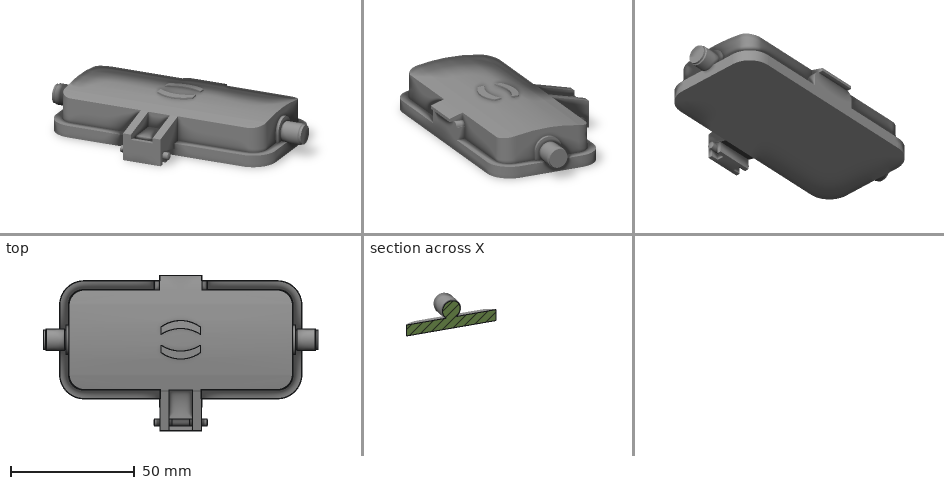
import cadquery as cq
import math


rim_length = 98.0
rim_width = 47.8
rim_height = 5.0
rim_corner_radius = 10.0

body_length = 90.7
body_width = 40.6
body_corner_radius = 6.0
wall_draft = 1.0
joint_overlap = 1.1
crown_top = 18.0
crown_radius = 80.0
crown_center_z = crown_top - crown_radius

emblem_rise = 0.7
emblem_half_length = 7.9
band_outer_middle = 7.8
band_outer_end = 5.2
band_inner_middle = 4.6
band_inner_end = 2.2

pad_width = 11.8
pad_arch_z = 8.7
pad_face_x = 46.5
plug_z = 8.2
plug_diameter = 8.8
plug_neck_diameter = 8.0
plug_neck_length = 0.6
plug_cap_length = 0.9
plug_tip_x = 55.6
plug_bevel = (plug_diameter - plug_neck_diameter) / 2

catch_end_y = 26.0
catch_width = 17.1
catch_underside_z = 12.3
catch_block_width = 21.8
catch_block_shoulder_width = 21.1
catch_block_round = 2.0
catch_block_shoulder_z = catch_underside_z - catch_block_round

arm_end_y = -36.8
arm_width = 17.1
arm_top_width = 16.5
arm_tip_top_z = 11.1
arm_tip_bottom_z = 6.1
arm_root_bottom_z = 2.7
arm_root_y = -rim_width / 2
arm_slope_y = -20.7
arm_inner_y = -body_width / 2 + joint_overlap
pocket_width = 9.7
pocket_floor_z = 8.9
tab_width = 16.7
tab_inner_y = -30.2
tab_bottom_z = -0.5

pin_y = -33.5
pin_z = 3.1
pin_diameter = 3.0
pin_length = 21.8
pin_dome_height = 0.3
collar_diameter = 4.0
collar_length = 7.1


def crown_z(y):
    """Height of the crown surface at a given Y."""
    return crown_center_z + math.sqrt(crown_radius**2 - y**2)


def box(x_min, x_max, y_min, y_max, z_min, z_max):
    size = (x_max - x_min, y_max - y_min, z_max - z_min)
    return cq.Workplane("XY").box(*size, centered=False).translate((x_min, y_min, z_min))


def cylinder_along_x(diameter, x_min, x_max, y, z):
    return cq.Workplane("YZ", origin=(x_min, y, z)).circle(diameter / 2).extrude(x_max - x_min)


def crown_cylinder(extra_radius=0):
    diameter = 2 * (crown_radius + extra_radius)
    return cylinder_along_x(diameter, -rim_length / 2, rim_length / 2, 0, crown_center_z)


def make_rim():
    rim = cq.Workplane("XY").rect(rim_length, rim_width).extrude(rim_height)
    return rim.edges("|Z").fillet(rim_corner_radius)


def make_body():
    walls = (
        cq.Workplane("XY", origin=(0, 0, rim_height))
        .rect(body_length, body_width)
        .extrude(crown_top, taper=wall_draft)
        .edges("not #Z")
        .fillet(body_corner_radius)
    )
    return walls.intersect(crown_cylinder())


def make_emblem_band(side):
    """Curved band on the +Y (side = 1) or -Y (side = -1) half of the crown."""
    start_z = crown_z(band_outer_middle) - emblem_rise
    band = (
        cq.Workplane("XY", origin=(0, 0, start_z))
        .moveTo(-emblem_half_length, side * band_inner_end)
        .threePointArc((0, side * band_inner_middle), (emblem_half_length, side * band_inner_end))
        .lineTo(emblem_half_length, side * band_outer_end)
        .threePointArc((0, side * band_outer_middle), (-emblem_half_length, side * band_outer_end))
        .close()
        .extrude(crown_top + 2 * emblem_rise - start_z)
    )
    return band.intersect(crown_cylinder(emblem_rise))


def make_end_plug():
    """Arched pad and round plug on the +X end."""
    half_pad = pad_width / 2
    root_x = body_length / 2 - joint_overlap
    pad = (
        cq.Workplane("YZ", origin=(root_x, 0, 0))
        .moveTo(-half_pad, rim_height)
        .lineTo(-half_pad, pad_arch_z)
        .threePointArc((0, pad_arch_z + half_pad), (half_pad, pad_arch_z))
        .lineTo(half_pad, rim_height)
        .close()
        .extrude(pad_face_x - root_x)
    )
    core = cylinder_along_x(plug_neck_diameter, root_x, plug_tip_x, 0, plug_z)
    barrel_start = pad_face_x + plug_neck_length
    barrel_end = plug_tip_x - plug_cap_length
    barrel = cylinder_along_x(plug_diameter, barrel_start, barrel_end, 0, plug_z)
    barrel = barrel.faces(">X").chamfer(plug_bevel)
    return pad.union(core).union(barrel)


def make_catch():
    """Overhanging lip that continues the crown, and the round-shouldered block below it."""
    inner_y = body_width / 2 - joint_overlap
    lip = box(-catch_width / 2, catch_width / 2, inner_y, catch_end_y, catch_underside_z, crown_top)
    lip = lip.intersect(crown_cylinder())
    half_block = catch_block_width / 2
    half_shoulder = catch_block_shoulder_width / 2
    half_top = half_shoulder - catch_block_round
    block = (
        cq.Workplane("XZ", origin=(0, rim_width / 2, 0))
        .moveTo(-half_block, rim_height)
        .lineTo(half_block, rim_height)
        .lineTo(half_block, catch_block_shoulder_z)
        .lineTo(half_shoulder, catch_block_shoulder_z)
        .radiusArc((half_top, catch_underside_z), -catch_block_round)
        .lineTo(-half_top, catch_underside_z)
        .radiusArc((-half_shoulder, catch_block_shoulder_z), -catch_block_round)
        .lineTo(-half_block, catch_block_shoulder_z)
        .close()
        .extrude(rim_width / 2 - inner_y)
    )
    return lip.union(block)


def make_hinge_arm():
    """Two cheeks that slope down from the crown, with a pocket and a pin tab at the tip."""
    arc_middle_y = (arm_slope_y + arm_inner_y) / 2
    cheek_side = (
        cq.Workplane("YZ", origin=(-arm_width / 2, 0, 0))
        .moveTo(arm_inner_y, arm_root_bottom_z)
        .lineTo(arm_root_y, arm_root_bottom_z)
        .lineTo(arm_end_y, arm_tip_bottom_z)
        .lineTo(arm_end_y, arm_tip_top_z)
        .lineTo(arm_slope_y, crown_z(arm_slope_y))
        .threePointArc((arc_middle_y, crown_z(arc_middle_y)), (arm_inner_y, crown_z(arm_inner_y)))
        .close()
        .extrude(arm_width)
    )
    cheek_front = (
        cq.Workplane("XZ", origin=(0, arm_inner_y, 0))
        .moveTo(-arm_width / 2, 0)
        .lineTo(arm_width / 2, 0)
        .lineTo(arm_top_width / 2, crown_top)
        .lineTo(-arm_top_width / 2, crown_top)
        .close()
        .extrude(arm_inner_y - arm_end_y)
    )
    half_tab = tab_width / 2
    tab = box(-half_tab, half_tab, arm_end_y, tab_inner_y, tab_bottom_z, arm_tip_bottom_z)
    half_pocket = pocket_width / 2
    pocket = box(-half_pocket, half_pocket, arm_end_y, -body_width / 2, pocket_floor_z, crown_top)
    pin_slot_y = (pin_y - pin_diameter / 2, pin_y + pin_diameter / 2)
    pin_gap = box(-half_pocket, half_pocket, *pin_slot_y, pin_z, crown_top)
    arm = cheek_side.intersect(cheek_front).union(tab).cut(pocket).cut(pin_gap)
    pin_slot = box(half_pocket, half_tab, *pin_slot_y, tab_bottom_z, pin_z)
    return arm.cut(pin_slot).cut(pin_slot.mirror("YZ"))


def make_hinge_pin():
    """Round pin with a shallow dome on each end and a collar in the middle."""
    half_length = pin_length / 2
    shoulder_x = half_length - pin_dome_height
    pin_radius = pin_diameter / 2
    dome_radius = (pin_radius**2 + pin_dome_height**2) / (2 * pin_dome_height)
    half_profile = (
        cq.Workplane("XY", origin=(0, pin_y, pin_z))
        .moveTo(0, 0)
        .lineTo(0, collar_diameter / 2)
        .lineTo(collar_length / 2, collar_diameter / 2)
        .lineTo(collar_length / 2, pin_radius)
        .lineTo(shoulder_x, pin_radius)
        .radiusArc((half_length, 0), dome_radius)
        .close()
    )
    half_pin = half_profile.revolve(axisStart=(0, 0, 0), axisEnd=(1, 0, 0))
    return half_pin.union(half_pin.mirror("YZ"))


end_plug = make_end_plug()

result = make_rim().union(make_body())
for side in (-1, 1):
    result = result.union(make_emblem_band(side))
result = result.union(end_plug).union(end_plug.mirror("YZ"))
result = result.union(make_catch()).union(make_hinge_arm()).union(make_hinge_pin())